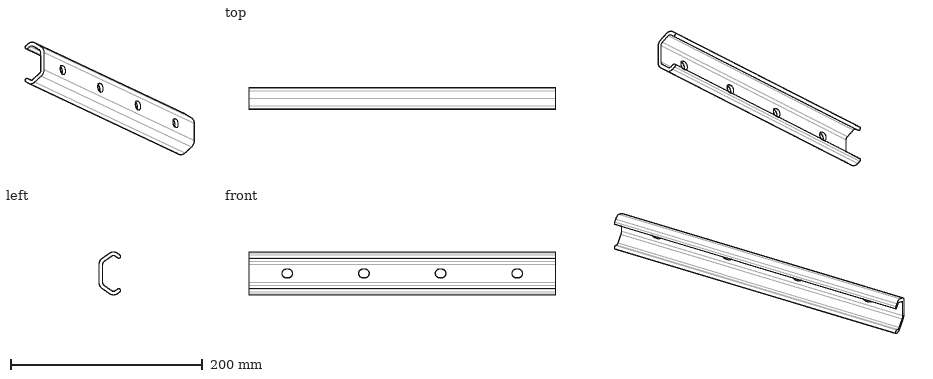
import cadquery as cq
import math

length = 320.0
depth = 22.7
height = 45.0

thickness = 4.0
bend_angle = math.radians(35)
web_bend_radius = 8.0
crest_radius = 7.0
web_flat_half = 9.3

slot_count = 4
slot_length = 11.0
slot_height = 9.0
slot_pitch = length / slot_count

back_y = depth / 2
web_bend_center = (back_y - web_bend_radius, web_flat_half)
crest_z = height / 2 - crest_radius
crest_rise = crest_z - web_flat_half
crest_run = (
    crest_rise * math.cos(bend_angle) + crest_radius - web_bend_radius
) / math.sin(bend_angle)
crest_center = (web_bend_center[0] - crest_run, crest_z)

tip_radius = thickness / 2
tip_y = -depth / 2 + tip_radius
crest_mid_radius = crest_radius - tip_radius
lip_start_y = crest_center[0] - crest_mid_radius * math.sin(bend_angle)
lip_start_z = crest_center[1] + crest_mid_radius * math.cos(bend_angle)
tip_center = (tip_y, lip_start_z - (lip_start_y - tip_y) * math.tan(bend_angle))


def on_arc(center, radius, angle):
    """Point at an angle measured from +Y towards +Z."""
    return (center[0] + radius * math.cos(angle), center[1] + radius * math.sin(angle))


def half_profile():
    """Upper half of the C section, closed along the middle plane."""
    flange_normal = math.pi / 2 - bend_angle
    lip_normal = math.pi / 2 + bend_angle
    web_inner = web_bend_radius - thickness
    crest_inner = crest_radius - thickness

    def web_bend(radius, angle):
        return on_arc(web_bend_center, radius, angle)

    def crest(radius, angle):
        return on_arc(crest_center, radius, angle)

    return (
        cq.Workplane("YZ", origin=(-length / 2, 0, 0))
        .moveTo(back_y, 0)
        .lineTo(*web_bend(web_bend_radius, 0))
        .threePointArc(web_bend(web_bend_radius, flange_normal / 2),
                       web_bend(web_bend_radius, flange_normal))
        .lineTo(*crest(crest_radius, flange_normal))
        .threePointArc(crest(crest_radius, math.pi / 2), crest(crest_radius, lip_normal))
        .lineTo(*on_arc(tip_center, tip_radius, lip_normal))
        .threePointArc(on_arc(tip_center, tip_radius, lip_normal + math.pi / 2),
                       on_arc(tip_center, tip_radius, lip_normal + math.pi))
        .lineTo(*crest(crest_inner, lip_normal))
        .threePointArc(crest(crest_inner, math.pi / 2), crest(crest_inner, flange_normal))
        .lineTo(*web_bend(web_inner, flange_normal))
        .threePointArc(web_bend(web_inner, flange_normal / 2), web_bend(web_inner, 0))
        .lineTo(back_y - thickness, 0)
        .close()
    )


def mounting_slots():
    """Row of lengthwise slots cutting straight through the web."""
    return (
        cq.Workplane("XZ", origin=(0, back_y, 0))
        .rarray(slot_pitch, 3.2, slot_count, 1)
        .slot2D(slot_length, slot_height)
        .extrude(thickness, both=True)
    )


upper_half = half_profile().extrude(length)
rail = upper_half.union(upper_half.mirror("XY")).clean()
result = rail.cut(mounting_slots())